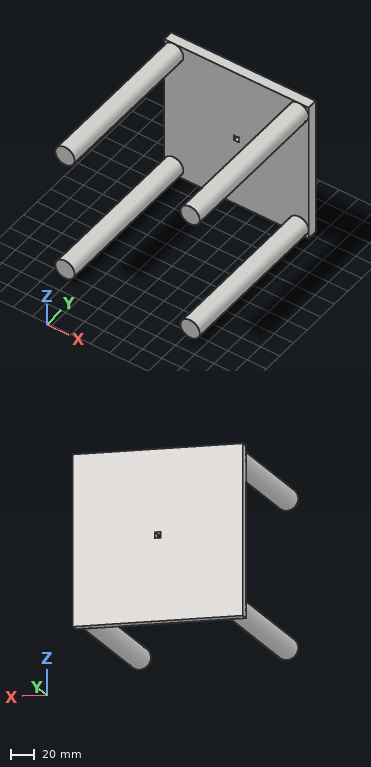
import cadquery as cq

plate_side = 150.0
overall_depth = 170.4
plate_thickness = 10.5
leg_diameter = 20.1
hole_side = 5.1

leg_length = overall_depth - plate_thickness
leg_spacing = plate_side - leg_diameter

plate = cq.Workplane("XZ").rect(plate_side, plate_side).extrude(-plate_thickness)

legs = (
    cq.Workplane("XZ")
    .rect(leg_spacing, leg_spacing, forConstruction=True)
    .vertices()
    .circle(leg_diameter / 2)
    .extrude(leg_length)
)

center_hole = cq.Workplane("XZ").rect(hole_side, hole_side).extrude(-plate_thickness)

result = plate.union(legs).cut(center_hole)